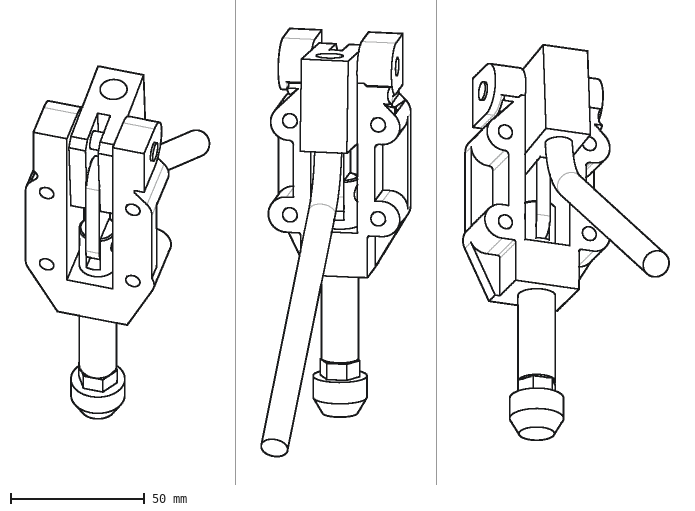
import cadquery as cq
import math

FRAME_BOTTOM = 55.7
FRAME_TOP = 144.6
BODY_DEPTH = 23.3
PLATE_DEPTH = 6.7
SLOT_WIDTH = 17.8
SLOT_FLOOR = 72.7
LOWER_WEB_HALF = 12.7
UPPER_WEB_HALF = 15.5
LOWER_WEB_FILLET = 0.9
UPPER_WEB_FILLET = 1.7

BOSS_RADIUS = 6.8
LOWER_BOSS_Z = 78.7
UPPER_BOSS_Z = 114.2
LOWER_BOSS_X = 18.2
LEFT_UPPER_BOSS_X = 18.2
RIGHT_UPPER_BOSS_X = 17.4
LEFT_CORNER_X = 12.6
RIGHT_CORNER_X = 14.6

BOLT_HOLE_RADIUS = 2.7
BOLT_HOLE_X = 16.8
LOWER_BOLT_Z = 78.7
UPPER_BOLT_Z = 115.0

LOBE_RADIUS = 9.8
LOBE_Y = 14.3
LOBE_Z = FRAME_TOP - LOBE_RADIUS
EAR_BOTTOM = FRAME_TOP - 2 * LOBE_RADIUS
LEFT_EAR_X = 22.0
RIGHT_EAR_X = 21.1
LOBE_FILLET_SWEEP = 60

LEFT_NOTCH = (LEFT_EAR_X, 20.4, LEFT_EAR_X)
RIGHT_NOTCH = (18.2, 17.2, 18.0)

PIVOT_RADIUS = 3.5
PIVOT_Y = 12.1
PIVOT_Z = 134.9
PIVOT_HALF_LENGTH = LEFT_EAR_X

AXIS_X = -0.1
AXIS_Y = 11.5
PLUNGER_RADIUS = 7.0
PLUNGER_TOP = 91.4
PLUNGER_CHAMFER = 0.6
PLUNGER_SLOT_FLOOR = 76.2
NUT_BOTTOM = 14.3
NUT_TOP = 20.5
NUT_CORNER_DIAMETER = 15.0
CAP_RADIUS = 10.1
CAP_TIP_RADIUS = 6.7
CAP_CONE_TOP = 6.1

LINK_THICKNESS = 5.4
LINK_RADIUS = 7.4
LINK_LOWER_Z = 85.5
LINK_UPPER_Z = 117.4
LINK_PIN_RADIUS = 3.5

HEAD_BACK_Y = 42.4
HEAD_BACK_Z = 144.0
HEAD_TILT = math.radians(4.8)
HEAD_DEPTH = 40.0
HEAD_HEIGHT = 35.0
HEAD_CHAMFER = 3.0
HEAD_SLOT_WALL = 23.1
HEAD_SLOT_WIDTH = 4.9

HANDLE_RADIUS = 5.0
HANDLE_FORWARD = 10.0
BEND_RADIUS = 30.0
BEND_ANGLE = math.radians(49.5)
GRIP_LENGTH = 115.3
HANDLE_TWIST = 0.65


def shoulder_z(half_width, boss_x):
    """Height of the 45-degree shoulder that leaves an upper boss on a tangent."""
    return UPPER_BOSS_Z + BOSS_RADIUS * math.sqrt(2) - (half_width - boss_x)


def tangent_point(corner, center, radius):
    """Point where the line rising from the corner touches the outside of the circle."""
    dx = center[0] - corner[0]
    dz = center[1] - corner[1]
    distance = math.hypot(dx, dz)
    angle = math.atan2(dz, dx) - math.asin(radius / distance)
    length = math.sqrt(distance**2 - radius**2)
    return corner[0] + length * math.cos(angle), corner[1] + length * math.sin(angle)


def extrude_back(outline, depth):
    """Extrude an XZ outline from the front face toward +Y."""
    return outline.extrude(-depth)


def body_half(upper_boss_x):
    """Right half of the full-depth body: webs, boss rims and shoulder."""
    low = LOWER_BOSS_Z - BOSS_RADIUS
    up = UPPER_BOSS_Z - BOSS_RADIUS
    slant = BOSS_RADIUS / math.sqrt(2)
    bend = 1 - 1 / math.sqrt(2)
    peak = shoulder_z(SLOT_WIDTH / 2, upper_boss_x)
    outline = (
        cq.Workplane("XZ")
        .moveTo(0, FRAME_BOTTOM)
        .lineTo(LOWER_WEB_HALF, FRAME_BOTTOM)
        .lineTo(LOWER_WEB_HALF, low - LOWER_WEB_FILLET)
        .threePointArc(
            (LOWER_WEB_HALF + bend * LOWER_WEB_FILLET, low - bend * LOWER_WEB_FILLET),
            (LOWER_WEB_HALF + LOWER_WEB_FILLET, low),
        )
        .lineTo(LOWER_BOSS_X, low)
        .threePointArc((LOWER_BOSS_X + BOSS_RADIUS, LOWER_BOSS_Z), (LOWER_BOSS_X, low + 2 * BOSS_RADIUS))
        .lineTo(UPPER_WEB_HALF, low + 2 * BOSS_RADIUS)
        .lineTo(UPPER_WEB_HALF, up - UPPER_WEB_FILLET)
        .threePointArc(
            (UPPER_WEB_HALF + bend * UPPER_WEB_FILLET, up - bend * UPPER_WEB_FILLET),
            (UPPER_WEB_HALF + UPPER_WEB_FILLET, up),
        )
        .lineTo(upper_boss_x, up)
        .threePointArc((upper_boss_x + BOSS_RADIUS, UPPER_BOSS_Z), (upper_boss_x + slant, UPPER_BOSS_Z + slant))
        .lineTo(SLOT_WIDTH / 2, peak)
        .lineTo(0, peak)
        .close()
    )
    return extrude_back(outline, BODY_DEPTH)


def plate_half(upper_boss_x, corner_x):
    """Right half of the front flange, whose lower edge slants up to the lower boss."""
    side_x = upper_boss_x + BOSS_RADIUS
    touch = tangent_point((corner_x, FRAME_BOTTOM), (LOWER_BOSS_X, LOWER_BOSS_Z), BOSS_RADIUS)
    outline = cq.Workplane("XZ").polyline([
        (0, FRAME_BOTTOM),
        (corner_x, FRAME_BOTTOM),
        touch,
        (side_x, LOWER_BOSS_Z),
        (side_x, UPPER_BOSS_Z),
        (0, UPPER_BOSS_Z),
    ]).close()
    return extrude_back(outline, PLATE_DEPTH)


def ear(ear_x):
    """Right pivot ear, rounded at the back."""
    return (
        cq.Workplane("YZ")
        .moveTo(0, EAR_BOTTOM)
        .lineTo(LOBE_Y, EAR_BOTTOM)
        .threePointArc((LOBE_Y + LOBE_RADIUS, LOBE_Z), (LOBE_Y, FRAME_TOP))
        .lineTo(0, FRAME_TOP)
        .close()
        .extrude(ear_x)
    )


def notch_fillet(upper_boss_x, notch):
    """Fillet between the shoulder and the ear, carried on around the ear's lobe."""
    x_ear, x_deep, x_shoulder = notch
    z_shoulder = shoulder_z(x_shoulder, upper_boss_x)
    section = (
        cq.Workplane("XZ", origin=(0, LOBE_Y, 0))
        .moveTo(x_ear, EAR_BOTTOM)
        .threePointArc((x_deep, (EAR_BOTTOM + z_shoulder) / 2), (x_shoulder, z_shoulder))
        .lineTo(SLOT_WIDTH / 2, z_shoulder)
        .lineTo(SLOT_WIDTH / 2, EAR_BOTTOM)
        .close()
    )
    straight = section.extrude(LOBE_Y)
    around = section.toPending().revolve(LOBE_FILLET_SWEEP, (0, LOBE_Z), (1, LOBE_Z))
    depth_limit = cq.Workplane("XY").box(FRAME_TOP, BODY_DEPTH, FRAME_TOP, centered=(True, False, False))
    return straight.union(around.intersect(depth_limit))


def frame_half(upper_boss_x, corner_x, ear_x, notch):
    return (
        body_half(upper_boss_x)
        .union(plate_half(upper_boss_x, corner_x))
        .union(ear(ear_x))
        .union(notch_fillet(upper_boss_x, notch))
    )


def pivot_pin():
    return (
        cq.Workplane("YZ", origin=(-PIVOT_HALF_LENGTH, PIVOT_Y, PIVOT_Z))
        .circle(PIVOT_RADIUS)
        .extrude(2 * PIVOT_HALF_LENGTH)
    )


def plunger_blank():
    """Plunger rod before slotting and drilling."""
    return (
        cq.Workplane("XY", origin=(AXIS_X, AXIS_Y, NUT_TOP))
        .circle(PLUNGER_RADIUS)
        .extrude(PLUNGER_TOP - NUT_TOP)
        .edges("%CIRCLE")
        .chamfer(PLUNGER_CHAMFER)
    )


def link_pin():
    """Cross pin whose ends follow the round of the plunger."""
    bar = (
        cq.Workplane("YZ", origin=(AXIS_X, AXIS_Y, LINK_LOWER_Z))
        .circle(LINK_PIN_RADIUS)
        .extrude(PLUNGER_RADIUS, both=True)
    )
    return bar.intersect(plunger_blank())


def plunger():
    slot = cq.Workplane("XY", origin=(AXIS_X, AXIS_Y, PLUNGER_SLOT_FLOOR)).box(
        LINK_THICKNESS, 2 * PLUNGER_RADIUS, PLUNGER_TOP - PLUNGER_SLOT_FLOOR, centered=(True, True, False)
    )
    return plunger_blank().cut(slot).cut(link_pin())


def frame():
    left = frame_half(LEFT_UPPER_BOSS_X, LEFT_CORNER_X, LEFT_EAR_X, LEFT_NOTCH).mirror("YZ")
    right = frame_half(RIGHT_UPPER_BOSS_X, RIGHT_CORNER_X, RIGHT_EAR_X, RIGHT_NOTCH)
    slot = cq.Workplane("XY", origin=(0, 0, SLOT_FLOOR)).box(
        SLOT_WIDTH, 2 * FRAME_TOP, FRAME_TOP, centered=(True, True, False)
    )
    bolt_holes = extrude_back(
        cq.Workplane("XZ")
        .pushPoints([(x, z) for x in (-BOLT_HOLE_X, BOLT_HOLE_X) for z in (LOWER_BOLT_Z, UPPER_BOLT_Z)])
        .circle(BOLT_HOLE_RADIUS),
        BODY_DEPTH,
    )
    return left.union(right).cut(slot).cut(bolt_holes).cut(plunger_blank()).cut(pivot_pin())


def link():
    """Straight bar with round ends, drilled for the cross pin."""
    middle_z = (LINK_LOWER_Z + LINK_UPPER_Z) / 2
    length = LINK_UPPER_Z - LINK_LOWER_Z + 2 * LINK_RADIUS
    bar = (
        cq.Workplane("YZ", origin=(AXIS_X, AXIS_Y, middle_z))
        .slot2D(length, 2 * LINK_RADIUS, 90)
        .extrude(LINK_THICKNESS / 2, both=True)
    )
    return bar.cut(link_pin())


def head_point(forward, down):
    """(Y, Z) of a place on the tilted head."""
    y = HEAD_BACK_Y - forward * math.cos(HEAD_TILT) + down * math.sin(HEAD_TILT)
    z = HEAD_BACK_Z - forward * math.sin(HEAD_TILT) - down * math.cos(HEAD_TILT)
    return y, z


def bend_point(angle):
    """(Y, Z) on the center line of the handle's bend."""
    forward = HANDLE_FORWARD - BEND_RADIUS * (1 - math.cos(angle))
    return head_point(forward, HEAD_HEIGHT + BEND_RADIUS * math.sin(angle))


def handle():
    top = head_point(HANDLE_FORWARD, 0)
    bend_start = bend_point(0)
    bend_end = bend_point(BEND_ANGLE)
    heading = BEND_ANGLE + HEAD_TILT
    tip = (bend_end[0] + GRIP_LENGTH * math.sin(heading), bend_end[1] - GRIP_LENGTH * math.cos(heading))
    path = (
        cq.Workplane("YZ")
        .moveTo(*top)
        .lineTo(*bend_start)
        .threePointArc(bend_point(BEND_ANGLE / 2), bend_end)
        .lineTo(*tip)
    )
    down = (0, math.sin(HEAD_TILT), -math.cos(HEAD_TILT))
    rod = cq.Workplane(cq.Plane((0, *top), (1, 0, 0), down)).circle(HANDLE_RADIUS).sweep(path)
    return rod.rotate((0, *top), (0, *bend_start), HANDLE_TWIST)


def head():
    """Slotted block with a chamfered front edge, bored for the handle and the pivot."""
    block = (
        cq.Workplane("YZ")
        .polyline([
            head_point(0, 0),
            head_point(HEAD_DEPTH - HEAD_CHAMFER, 0),
            head_point(HEAD_DEPTH, HEAD_CHAMFER),
            head_point(HEAD_DEPTH, HEAD_HEIGHT),
            head_point(0, HEAD_HEIGHT),
        ])
        .close()
        .extrude(SLOT_WIDTH / 2, both=True)
    )
    slot = (
        cq.Workplane("YZ")
        .polyline([
            head_point(HEAD_SLOT_WALL, 0),
            head_point(HEAD_DEPTH, 0),
            head_point(HEAD_DEPTH, HEAD_HEIGHT),
            head_point(HEAD_SLOT_WALL, HEAD_HEIGHT),
        ])
        .close()
        .extrude(HEAD_SLOT_WIDTH / 2, both=True)
    )
    return block.cut(slot).cut(link()).cut(handle()).cut(pivot_pin())


def nut():
    return (
        cq.Workplane("XY", origin=(AXIS_X, AXIS_Y, NUT_BOTTOM))
        .polygon(6, NUT_CORNER_DIAMETER)
        .extrude(NUT_TOP - NUT_BOTTOM)
    )


def cap():
    """Round foot that tapers to its tip."""
    profile = cq.Workplane("XZ", origin=(AXIS_X, AXIS_Y, 0)).polyline([
        (0, 0),
        (CAP_TIP_RADIUS, 0),
        (CAP_RADIUS, CAP_CONE_TOP),
        (CAP_RADIUS, NUT_BOTTOM),
        (0, NUT_BOTTOM),
    ])
    return profile.close().revolve(360, (0, 0), (0, 1))


bodies = [frame(), head(), handle(), pivot_pin(), link(), link_pin(), plunger(), nut(), cap()]
result = cq.Compound.makeCompound([body.solids().val() for body in bodies])